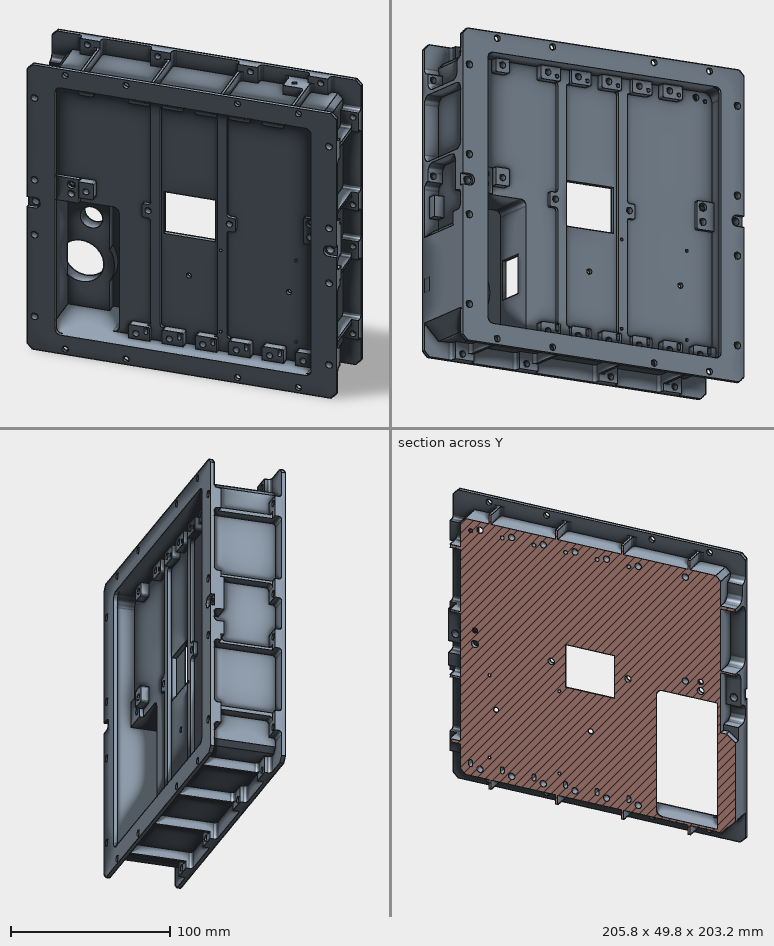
import cadquery as cq
WIDTH = 205.77
DEPTH = 49.78
HEIGHT = 203.2
FLANGE = 2.54
FLANGE_CHAMFER = 3.6

BULGE = 0.03
BULGE_LENGTH = 8.7
X_EDGE = WIDTH / 2
X_LEFT = -X_EDGE + BULGE
Z_EDGE = HEIGHT / 2
Y_BACK = DEPTH / 2
Y_FRONT = -Y_BACK
Y_REAR_INNER = Y_BACK - FLANGE
Y_FRONT_INNER = Y_FRONT + FLANGE
PAST = 1.0

CORE_LEFT = -92.4
CORE_RIGHT = 90.9
CORE_Z = 90.4
CORE_CHAMFER = 3.4
BLOCK_BOTTOM = -80.3

CAVITY_LEFT = -90.0
CAVITY_RIGHT = 88.7
CAVITY_Z = 88.3
WINDOW_LEFT = -84.35
WINDOW_RIGHT = 86.0
CORNER_RADIUS = 4.0
CAVITY_RADIUS = 6.35
WEB_FRONT = -9.0
WEB_THICKNESS = 3.0
WEB_BACK = WEB_FRONT + WEB_THICKNESS

WELL_RIGHT = -47.1
WELL_TOP = 0.4
WELL_FLOOR = Y_REAR_INNER
PORT_BOSS_FRONT = 15.9
WELL_WALL = 2.5
PORT_BOSS_RIGHT = -62.1
PORT_BOSS_TOP = -11.7
LARGE_PORT_Z = -56.0
LARGE_PORT_DIA = 29.4
LARGE_PORT_BOSS_DIA = 43.9
LARGE_PORT_X = -80.8
SMALL_PORT_X = -74.2
SMALL_PORT_Z = -23.8
SMALL_PORT_DIA = 14.99
SIDE_PORT = (1.0, 19.8, -58.2, -32.5)

RIB_INNER = 19.0
RIB_OUTER = 25.4
RIB_FRONT = -11.5
RIB_HEAD = 2.1
RIB_FILLET = 2.0
RIB_PAD_OUTER = 31.1
RIB_PAD_Z = (-2.0, 7.7)
RIB_HOLE_X = 27.0
MID_HOLE_Z = 3.2
WEB_WINDOW = (-17.4, 16.8, -12.5, 17.3)
BOSS_FRONT = -14.3
BOSS_WIDTH = 14.2
BOSS_PITCH = 22.26
BOSS_COUNT = 6
FIRST_BOSS_X = -39.2
TOP_BOSS_EDGE = 79.4
BOTTOM_BOSS_EDGE = -78.6
BOSS_ROUND = 1.2
BOSS_HOLE_OFFSET = 5.0
BOSS_HOLE_Z = 84.3
BOSS_HOLE_DIA = 4.12
PIN_OFFSET = 11.6
PIN_Z = 82.5
PIN_DIA = 2.44
PIN_SLOT_Z = -81.5
PIN_SLOT_LENGTH = 4.6
PLAIN_BOSS_X = (-72.3, -62.4)
PLAIN_BOSS_HOLE_X = -67.4
MID_BOSS_Z = (5.9, 17.3)
MID_BOSS_HOLE_Z = 11.0
LEFT_PAD = (-73.0, 0.4, 17.3)
RIGHT_PAD = (76.3, -2.0, 16.6)
PAD_HOLE_X = (-78.2, 80.7)
PAD_SCREW_Z = 12.8
PAD_SCREW_DIA = 3.38
PAD_COUNTERSINK_DIA = 5.16
LEFT_PAD_HOLE_Z = 6.4
PAD_HOLE_DIA = 4.57
WEB_HOLES = [(-0.8, -39.8), (65.8, -39.8)]
WEB_HOLE_DIA = 3.42
PILOT_X = (21.3, 70.5)
PILOT_Z = (-16.5, -74.6)
PILOT_DIA = 1.78

EDGE_HOLE_X = (37.1, 77.6)
EDGE_HOLE_Z = 97.8
EDGE_HOLE_DIA = 4.09
SIDE_HOLE_X = 98.0
SIDE_HOLE_Z = (19.6, 78.0)
SIDE_HOLE_DIA = 4.57
SIDE_HOLE_DEPTH = 6.0
SLOT_HOLE_DIA = 5.16
SLOT_WIDTH = 7.4
BOSS_HOLES_X = (30.8, 77.6)
REAR_HOLE_DIA = 4.09
REAR_SIDE_HOLE_X = 99.0
REAR_SIDE_HOLE_Z = (14.9, 77.4)
REAR_HOLE_DEPTH = 5.0
REAR_BOSS_Y = 17.9
FRONT_BOSS_Y = -18.0
SLOT_BOSS_Y = -15.9
EDGE_RIB_TOP = 96.8
EDGE_RIB = 1.7
EDGE_BOSS_X = ((22.3, 35.8), (69.2, 82.6))
BAY_RADIUS = 2.3
SIDE_RIB_X = 98.2
SIDE_RIBS_Z = ((22.2, 23.9), (67.3, 69.8))
SIDE_BOSS_Z = ((11.0, 23.9), (67.3, 81.0))
SLOT_BOSS_Z = (-2.6, 11.0)
FRONT_BOSS_END = 82.3
POCKET_RADIUS = 5.3
POCKET_STEP_RADIUS = 4.4
SIDE_PAD_X = -99.3
SIDE_PAD_Z = (-11.7, 2.2)
POCKET_FLOOR_Z = -19.7
POCKET_SLOPE_X = -96.3
POCKET_SLOPE_Z = -24.6
POCKET_SLOPE_Y = -12.6
LOBE_Z = (-15.6, -2.6)
LUG = (55.4, 9.3)
LUG_HOLE = (61.3, 14.6)
LUG_HOLE_DIA = 3.23


def box(x_range, y_range, z_range, rounded="", radius=0.0):
    """Block between the given limits, with the selected edges rounded."""
    limits = [sorted(pair) for pair in (x_range, y_range, z_range)]
    sizes = [high - low for low, high in limits]
    middle = tuple((low + high) / 2 for low, high in limits)
    block = cq.Workplane("XY").box(*sizes).translate(middle)
    return block.edges(rounded).fillet(radius) if rounded else block


def rod(x, z, diameter, y_start, y_end):
    """Cylinder along Y."""
    plane = cq.Workplane("XZ", origin=(x, y_start, z))
    return plane.circle(diameter / 2).extrude(y_start - y_end)


def prism_y(points, y_start, y_end):
    """Outline in X and Z, swept along Y."""
    return cq.Workplane("XZ", origin=(0, y_start, 0)).polyline(points).close().extrude(y_start - y_end)


def joined(shapes):
    """Union of all the shapes."""
    total = shapes[0]
    for shape in shapes[1:]:
        total = total.union(shape)
    return total


def mirrored(limits):
    """The same range on the other side of zero."""
    return (-limits[1], -limits[0])


def flange(y_start, y_end):
    """Square plate with chamfered corners."""
    plate = box((X_LEFT, X_EDGE), (y_start, y_end), (-Z_EDGE, Z_EDGE))
    return plate.edges("|Y").chamfer(FLANGE_CHAMFER)


def core():
    """Box walls, with the left side thickened out to the edge of the flanges."""
    deep = (Y_FRONT_INNER, Y_REAR_INNER)
    shell = box((CORE_LEFT, CORE_RIGHT), deep, (-CORE_Z, CORE_Z)).edges("|Y").chamfer(CORE_CHAMFER)
    block_end = CORE_Z - CORE_CHAMFER
    slope_end = BLOCK_BOTTOM - (CORE_LEFT - X_LEFT)
    side = [
        (X_LEFT, block_end),
        (CORE_LEFT + CORE_CHAMFER, block_end),
        (CORE_LEFT + CORE_CHAMFER, -CORE_Z),
        (CORE_LEFT, slope_end),
        (X_LEFT, BLOCK_BOTTOM),
    ]
    return shell.union(prism_y(side, *deep))


def edge_bays(with_lug):
    """Ribs, rear bosses and a drilled lug above the top wall, left standing between rounded bays."""
    (inner, inner_end), (outer, outer_end) = EDGE_BOSS_X
    reach = outer_end + 2 * BAY_RADIUS
    open_end = reach + 2 * BAY_RADIUS
    deep = (Y_FRONT_INNER, Y_REAR_INNER)
    shallow = (Y_FRONT_INNER, REAR_BOSS_Y)
    levels = (CORE_Z, Z_EDGE + PAST)
    bosses = box((-reach, reach), (REAR_BOSS_Y, Y_REAR_INNER), (CORE_Z, Z_EDGE))
    ribs = box((-outer_end, outer_end), shallow, (CORE_Z, EDGE_RIB_TOP))
    cut = box((-inner, inner), deep, levels, "|Z", BAY_RADIUS)
    for flip in (False, True):
        lug_bay = with_lug and not flip
        spans = [((outer + EDGE_RIB, open_end), shallow), ((outer_end, open_end), deep)]
        if lug_bay:
            above_lug = (EDGE_RIB_TOP, Z_EDGE + PAST)
            cut = cut.union(box((inner_end, outer), deep, above_lug, "|Z", BAY_RADIUS))
            lug_hole = cq.Workplane("XY", origin=(*LUG_HOLE, CORE_Z)).circle(LUG_HOLE_DIA / 2)
            cut = cut.union(lug_hole.extrude(Z_EDGE - CORE_Z))
            spans += [
                ((inner + EDGE_RIB, outer), (Y_FRONT_INNER, LUG[1])),
                ((inner + EDGE_RIB, LUG[0]), shallow),
                ((inner_end, LUG[0]), deep),
            ]
        else:
            spans += [((inner + EDGE_RIB, outer), shallow), ((inner_end, outer), deep)]
        for span, y_range in spans:
            x_range = mirrored(span) if flip else span
            cut = cut.union(box(x_range, y_range, levels, "|Z", BAY_RADIUS))
    return bosses.union(ribs).cut(cut)


def right_side():
    """Ribs and bosses on the right wall, left standing between rounded bays."""
    (low_rib, low_rib_end), (high_rib, high_rib_end) = SIDE_RIBS_Z
    low_boss, high_boss_end = SIDE_BOSS_Z[0][0], SIDE_BOSS_Z[1][1]
    end = high_boss_end + 2 * BAY_RADIUS
    open_end = end + 2 * BAY_RADIUS
    reach = (CORE_RIGHT, X_EDGE + PAST)
    deep = (Y_FRONT_INNER, Y_REAR_INNER)
    shallow = (FRONT_BOSS_Y, REAR_BOSS_Y)
    bays = [
        ((SLOT_BOSS_Y, REAR_BOSS_Y), (-low_rib, low_rib)),
        (deep, (-low_boss, SLOT_BOSS_Z[0])),
        ((SLOT_BOSS_Y, Y_REAR_INNER), (-low_boss, low_boss)),
    ]
    for z_range, y_range in (
        ((low_rib_end, high_rib), deep),
        ((high_rib_end, open_end), shallow),
        ((high_boss_end, open_end), deep),
    ):
        bays += [(y_range, z_range), (y_range, mirrored(z_range))]
    cuts = [box(reach, y_range, z_range, "|X", BAY_RADIUS) for y_range, z_range in bays]
    rib_trim = (low_rib - BAY_RADIUS, high_boss_end)
    cuts += [box((SIDE_RIB_X, X_EDGE + PAST), shallow, span) for span in (rib_trim, mirrored(rib_trim))]
    return box((CORE_RIGHT, X_EDGE), deep, (-end, end)).cut(joined(cuts))


def left_pockets():
    """Three pockets milled into the left side down to the box wall."""
    reach = (-X_EDGE - PAST, CORE_LEFT)
    full = (Y_FRONT_INNER, Y_REAR_INNER)
    above = Z_EDGE
    (low_rib, low_rib_top), (high_rib, high_rib_top) = SIDE_RIBS_Z
    upper = box(reach, (FRONT_BOSS_Y, REAR_BOSS_Y), (high_rib_top, above), "|X", POCKET_RADIUS)
    upper_wide = box(reach, (0, Y_REAR_INNER), (SIDE_BOSS_Z[1][1], above), "|X", POCKET_STEP_RADIUS)
    upper_front = box(reach, (Y_FRONT_INNER, 0), (FRONT_BOSS_END, above), "|X", POCKET_STEP_RADIUS)
    middle = box(reach, full, (low_rib_top, high_rib), "|X", POCKET_RADIUS)
    return joined([upper, upper_wide, upper_front, middle, lower_pocket(reach, low_rib)])


def lower_pocket(reach, top):
    """Stepped pocket with a rounded lobe at the front and a sloping lower edge."""
    narrow = box(reach, (SLOT_BOSS_Y, REAR_BOSS_Y), (LOBE_Z[0], top), "|X and >Z", POCKET_RADIUS)
    wide = box(reach, (POCKET_SLOPE_Y, Y_REAR_INNER), (POCKET_FLOOR_Z, SIDE_BOSS_Z[0][0]))
    wide = wide.edges("|X and >Y and >Z").fillet(POCKET_STEP_RADIUS)
    lobe = box(reach, (Y_FRONT_INNER, POCKET_SLOPE_Y), LOBE_Z, "|X and <Y", POCKET_STEP_RADIUS)
    slope = prism_y(
        [(POCKET_SLOPE_X, POCKET_FLOOR_Z), (X_LEFT, POCKET_SLOPE_Z), (-X_EDGE - PAST, POCKET_FLOOR_Z)],
        POCKET_SLOPE_Y,
        Y_REAR_INNER,
    )
    return joined([narrow, wide, lobe, slope])


def side_pad():
    """Small block standing on the floor of the lower left pocket."""
    return box((SIDE_PAD_X, CORE_LEFT), (PORT_BOSS_FRONT, Y_REAR_INNER), SIDE_PAD_Z)


def cavities():
    """Window, front cavity and rear cavity on both sides of the web."""
    inside_x = (CAVITY_LEFT, CAVITY_RIGHT)
    z_range = (-CAVITY_Z, CAVITY_Z)
    window = box((WINDOW_LEFT, WINDOW_RIGHT), (Y_FRONT - PAST, WEB_FRONT), z_range, "|Y", CORNER_RADIUS)
    front = box(inside_x, (Y_FRONT_INNER, WEB_FRONT), z_range, "|Y", CAVITY_RADIUS)
    rear = box(inside_x, (WEB_BACK, Y_BACK + PAST), z_range, "|Y", CAVITY_RADIUS)
    housing = box(
        (CAVITY_LEFT - PAST, WELL_RIGHT + WELL_WALL),
        (WEB_BACK, Y_BACK + PAST),
        (-CAVITY_Z - PAST, WELL_TOP + WELL_WALL),
    )
    return joined([window, front, rear.cut(housing)])


def connector_well():
    """Deep well with an opening to the rear cavity."""
    well = box((CAVITY_LEFT, WELL_RIGHT), (Y_FRONT_INNER, WELL_FLOOR), (-CAVITY_Z, WELL_TOP))
    well = well.edges("|Y and >X").fillet(CORNER_RADIUS)
    side = box((WELL_RIGHT - PAST, WELL_RIGHT + WELL_WALL + PAST), SIDE_PORT[:2], SIDE_PORT[2:])
    return well.union(side)


def port_boss():
    """Raised pad and round boss on the floor of the well, with a faint swelling on the left face."""
    stand = (PORT_BOSS_FRONT, WELL_FLOOR)
    pad = box((CAVITY_LEFT - PAST, PORT_BOSS_RIGHT), stand, (-CAVITY_Z - PAST, PORT_BOSS_TOP))
    low, high = LARGE_PORT_Z - BULGE_LENGTH / 2, LARGE_PORT_Z + BULGE_LENGTH / 2
    swelling = cq.Workplane("XZ", origin=(0, stand[0], 0)).moveTo(X_LEFT, low)
    swelling = swelling.threePointArc((-X_EDGE, LARGE_PORT_Z), (X_LEFT, high))
    swelling = swelling.lineTo(X_LEFT + PAST, high).lineTo(X_LEFT + PAST, low).close()
    boss = rod(LARGE_PORT_X, LARGE_PORT_Z, LARGE_PORT_BOSS_DIA, *stand)
    return joined([pad, boss, swelling.extrude(stand[0] - stand[1])])


def ports():
    """The two round ports through the pad and the back flange."""
    through = (PORT_BOSS_FRONT - PAST, Y_BACK + PAST)
    large = rod(LARGE_PORT_X, LARGE_PORT_Z, LARGE_PORT_DIA, *through)
    return large.union(rod(SMALL_PORT_X, SMALL_PORT_Z, SMALL_PORT_DIA, *through))


def boss_lefts():
    """Left sides of the evenly spaced web bosses."""
    return [FIRST_BOSS_X + i * BOSS_PITCH for i in range(BOSS_COUNT)]


def web_bosses():
    """Bosses along the top and bottom of the web, and the plain one beside the left pad."""
    stand = (BOSS_FRONT, WEB_BACK)
    top = (TOP_BOSS_EDGE, CAVITY_Z)
    parts = [
        box(PLAIN_BOSS_X, stand, top, "|Y and <Z", BOSS_ROUND),
        box(PLAIN_BOSS_X, stand, MID_BOSS_Z, "|Y and >X", BOSS_ROUND),
    ]
    for i, left in enumerate(boss_lefts()):
        last = i == BOSS_COUNT - 1
        x_range = (left, CAVITY_RIGHT if last else left + BOSS_WIDTH)
        parts.append(box(x_range, stand, (-CAVITY_Z, BOTTOM_BOSS_EDGE), "|Y and >Z", BOSS_ROUND))
        if not last:
            parts.append(box(x_range, stand, top, "|Y and <Z", BOSS_ROUND))
    return joined(parts)


def web_ribs():
    """Two upright ribs, each widened at both ends and by a drilled pad at mid height."""
    stand = (RIB_FRONT, WEB_BACK)
    parts = []
    for side in (-1, 1):
        rib = box((side * RIB_INNER, side * RIB_OUTER), stand, (-CAVITY_Z, CAVITY_Z))
        head_x = (side * (RIB_INNER - RIB_HEAD), side * (RIB_OUTER + RIB_HEAD))
        rib = rib.union(box(head_x, stand, (TOP_BOSS_EDGE, CAVITY_Z)))
        rib = rib.union(box(head_x, stand, (-CAVITY_Z, BOTTOM_BOSS_EDGE)))
        rib = rib.union(box((side * RIB_INNER, side * RIB_PAD_OUTER), stand, RIB_PAD_Z))
        at_rib = cq.selectors.BoxSelector(
            (side * (RIB_INNER - PAST), Y_FRONT, BOTTOM_BOSS_EDGE - PAST),
            (side * (RIB_OUTER + PAST), Y_BACK, TOP_BOSS_EDGE + PAST),
        )
        rib = rib.edges("|Y").edges(at_rib).fillet(RIB_FILLET)
        pad_end = cq.selectors.BoxSelector(
            (side * (RIB_PAD_OUTER - PAST), Y_FRONT, BOTTOM_BOSS_EDGE),
            (side * (RIB_PAD_OUTER + PAST), Y_BACK, TOP_BOSS_EDGE),
        )
        parts.append(rib.edges("|Y").edges(pad_end).fillet(BOSS_ROUND))
    return joined(parts)


def wall_pads():
    """Low pads at both side walls."""
    stand = (RIB_FRONT, WEB_BACK)
    left = box((CAVITY_LEFT, LEFT_PAD[0]), stand, LEFT_PAD[1:])
    return left.union(box((RIGHT_PAD[0], CAVITY_RIGHT), stand, RIGHT_PAD[1:], "|Y and <X", BOSS_ROUND))


def web_cuts():
    """Window and all the holes that pass through the web."""
    through = (BOSS_FRONT - PAST, WEB_BACK + PAST)
    cuts = [box(WEB_WINDOW[:2], through, WEB_WINDOW[2:])]
    holes = [(x, z, WEB_HOLE_DIA) for x, z in WEB_HOLES]
    holes += [(x, z, PILOT_DIA) for x in PILOT_X for z in PILOT_Z]
    holes += [(side * RIB_HOLE_X, MID_HOLE_Z, BOSS_HOLE_DIA) for side in (-1, 1)]
    holes += [(PLAIN_BOSS_HOLE_X, z, BOSS_HOLE_DIA) for z in (BOSS_HOLE_Z, MID_BOSS_HOLE_Z)]
    holes += [(x, z, PAD_HOLE_DIA) for x, z in zip(PAD_HOLE_X, (LEFT_PAD_HOLE_Z, MID_HOLE_Z))]
    holes += [(x, PAD_SCREW_Z, PAD_SCREW_DIA) for x in PAD_HOLE_X]
    for left in boss_lefts():
        holes += [(left + BOSS_HOLE_OFFSET, z, BOSS_HOLE_DIA) for z in (BOSS_HOLE_Z, -BOSS_HOLE_Z)]
        holes.append((left + PIN_OFFSET, PIN_Z, PIN_DIA))
        slot = cq.Workplane("XZ", origin=(left + PIN_OFFSET, through[0], PIN_SLOT_Z))
        cuts.append(slot.slot2D(PIN_SLOT_LENGTH, PIN_DIA, 90).extrude(through[0] - through[1]))
    cuts += [rod(x, z, diameter, *through) for x, z, diameter in holes]
    cuts += [rod(x, PAD_SCREW_Z, PAD_COUNTERSINK_DIA, through[0], WEB_FRONT) for x in PAD_HOLE_X]
    return joined(cuts)


def flange_cuts():
    """Holes and side slots of the front flange, and blind holes in the rear bosses."""
    front = (Y_FRONT - PAST, SLOT_BOSS_Y + POCKET_RADIUS)
    blind = (front[0], Y_FRONT + SIDE_HOLE_DEPTH)
    rear = (REAR_BOSS_Y, REAR_BOSS_Y + REAR_HOLE_DEPTH)
    cuts = []
    for side in (-1, 1):
        for end in (-1, 1):
            cuts += [rod(side * x, end * EDGE_HOLE_Z, EDGE_HOLE_DIA, *front) for x in EDGE_HOLE_X]
            cuts += [rod(side * x, end * EDGE_HOLE_Z, REAR_HOLE_DIA, *rear) for x in BOSS_HOLES_X]
            cuts += [rod(side * SIDE_HOLE_X, end * z, SIDE_HOLE_DIA, *blind) for z in SIDE_HOLE_Z]
        for end in (1,) if side < 0 else (-1, 1):
            for z in REAR_SIDE_HOLE_Z:
                cuts.append(rod(side * REAR_SIDE_HOLE_X, end * z, REAR_HOLE_DIA, *rear))
        x = side * SIDE_HOLE_X
        cuts.append(rod(x, MID_HOLE_Z, SLOT_HOLE_DIA, *front))
        cuts.append(rod(x, MID_HOLE_Z, SLOT_WIDTH, front[0], Y_FRONT_INNER))
        half = SLOT_WIDTH / 2
        slot_z = (MID_HOLE_Z - half, MID_HOLE_Z + half)
        cuts.append(box((x, side * (X_EDGE + PAST)), (front[0], Y_FRONT_INNER), slot_z))
    return joined(cuts)


result = core().cut(left_pockets())
result = result.union(flange(Y_FRONT, Y_FRONT_INNER)).union(flange(Y_REAR_INNER, Y_BACK))
result = result.union(edge_bays(True)).union(edge_bays(False).mirror("XY"))
result = result.union(right_side()).union(side_pad())
result = result.cut(cavities())
result = result.union(web_bosses()).union(web_ribs()).union(wall_pads())
result = result.cut(connector_well()).union(port_boss()).cut(ports())
result = result.cut(web_cuts()).cut(flange_cuts())